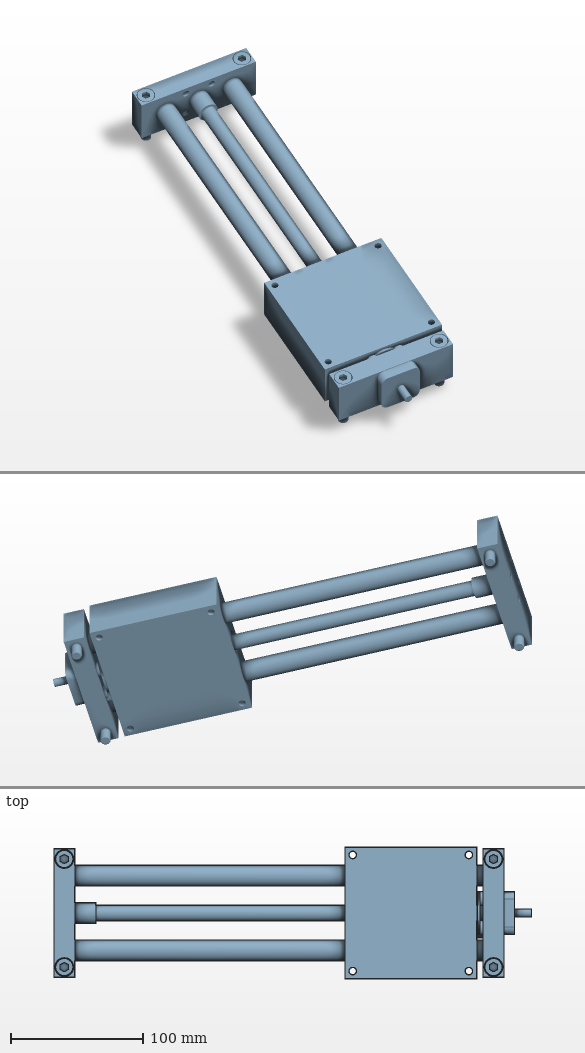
import cadquery as cq


total_length = 362.0
total_height = 49.0

carriage_length = 100.0
carriage_width = 100.0
carriage_height = 36.0
carriage_start = 220.5
carriage_top = carriage_height / 2
mount_hole_diameter = 5.5
mount_hole_spacing = 88.0
screw_bore_diameter = 18.0

plate_thickness = 16.0
plate_width = 97.5
plate_height = 37.0
plate_top = carriage_top - 1.0
plate_bottom = plate_top - plate_height
drive_plate_start = 325.0
drive_plate_end = drive_plate_start + plate_thickness

rod_diameter = 16.0
rod_offset = 28.2
screw_diameter = 12.0
collar_diameter = 16.0
collar_length = 16.0
drive_shaft_diameter = 6.0

flange_size = 32.5
flange_thickness = 8.0
flange_corner_radius = 5.8
bolt_spacing = 22.0
bolt_hole_diameter = 5.5
bolt_head_diameter = 11.0
bolt_head_height = 2.0

disc_diameter = 32.5
disc_thickness = 1.8
pin_diameter = 9.0
pin_y = -14.5
pin_z = -11.5

corner_bolt_offset = 41.0
corner_bolt_diameter = 8.0
corner_head_diameter = 13.0
corner_head_height = 8.0
counterbore_diameter = 14.0
socket_flats = 6.0
socket_depth = 4.0
tip_chamfer = 0.7
corner_bolt_bottom = carriage_top - total_height


def rod_along_x(diameter, x_start, x_end, y=0.0, z=0.0):
    """Round bar parallel to X between two stations."""
    return (
        cq.Workplane("YZ", origin=(x_start, y, z))
        .circle(diameter / 2)
        .extrude(x_end - x_start)
    )


def cylinder_along_z(diameter, z_start, z_end, x, y):
    """Upright round bar between two heights."""
    return (
        cq.Workplane("XY", origin=(x, y, z_start))
        .circle(diameter / 2)
        .extrude(z_end - z_start)
    )


def bolt_pattern():
    """(Y, Z) centres of the four-bolt square around the screw axis."""
    half = bolt_spacing / 2
    return [(y, z) for y in (-half, half) for z in (-half, half)]


def make_corner_bolt(x, y):
    """Socket head bolt, head flush with the plate top, tip below the plate."""
    head_bottom = plate_top - corner_head_height
    shank = cylinder_along_z(corner_bolt_diameter, corner_bolt_bottom, head_bottom, x, y)
    shank = shank.faces("<Z").chamfer(tip_chamfer)
    head = cylinder_along_z(corner_head_diameter, head_bottom, plate_top, x, y)
    socket = (
        cq.Workplane("XY", origin=(x, y, plate_top))
        .polygon(6, socket_flats, circumscribed=True)
        .extrude(-socket_depth)
    )
    return shank.union(head).cut(socket)


def make_end_plate(x_start):
    """End plate with a counterbored socket head bolt near each Y end."""
    plate = cq.Workplane("XY").box(
        plate_thickness, plate_width, plate_height, centered=(False, True, False)
    ).translate((x_start, 0, plate_bottom))
    bolt_x = x_start + plate_thickness / 2
    for bolt_y in (-corner_bolt_offset, corner_bolt_offset):
        counterbore = cylinder_along_z(
            counterbore_diameter, plate_top - corner_head_height, plate_top, bolt_x, bolt_y
        )
        plate = plate.cut(counterbore).union(make_corner_bolt(bolt_x, bolt_y))
    return plate


def make_idle_plate():
    """End plate at X = 0 with the four-bolt pattern drilled through."""
    plate = make_end_plate(0.0)
    for y, z in bolt_pattern():
        plate = plate.cut(rod_along_x(bolt_hole_diameter, 0.0, plate_thickness, y, z))
    return plate


def make_drive_plate():
    """End plate with the bearing flange outside, and bolt heads, disc and pin inside."""
    flange = (
        cq.Workplane("YZ", origin=(drive_plate_end, 0, 0))
        .rect(flange_size, flange_size)
        .extrude(flange_thickness)
        .edges("|X")
        .fillet(flange_corner_radius)
    )
    plate = make_end_plate(drive_plate_start).union(flange)
    head_start = drive_plate_start - bolt_head_height
    disc_start = head_start - disc_thickness
    for y, z in bolt_pattern():
        plate = plate.union(rod_along_x(bolt_head_diameter, head_start, drive_plate_start, y, z))
    plate = plate.union(rod_along_x(disc_diameter, disc_start, head_start))
    return plate.union(rod_along_x(pin_diameter, disc_start, drive_plate_start, pin_y, pin_z))


def make_frame():
    """Both end plates joined by the guide rods and the lead screw."""
    frame = make_idle_plate().union(make_drive_plate())
    for rod_y in (-rod_offset, rod_offset):
        frame = frame.union(rod_along_x(rod_diameter, plate_thickness, drive_plate_start, rod_y))
    frame = frame.union(rod_along_x(screw_diameter, plate_thickness, drive_plate_start))
    frame = frame.union(
        rod_along_x(collar_diameter, plate_thickness, plate_thickness + collar_length)
    )
    flange_end = drive_plate_end + flange_thickness
    return frame.union(rod_along_x(drive_shaft_diameter, flange_end, total_length))


def make_carriage():
    """Block with rod bores, a clearance bore for the screw and corner holes."""
    carriage_end = carriage_start + carriage_length
    carriage_middle = carriage_start + carriage_length / 2
    block = cq.Workplane("XY").box(carriage_length, carriage_width, carriage_height)
    block = block.translate((carriage_middle, 0, 0))
    for rod_y in (-rod_offset, rod_offset):
        block = block.cut(rod_along_x(rod_diameter, carriage_start, carriage_end, rod_y))
    block = block.cut(rod_along_x(screw_bore_diameter, carriage_start, carriage_end))
    half = mount_hole_spacing / 2
    for x in (carriage_middle - half, carriage_middle + half):
        for y in (-half, half):
            block = block.cut(
                cylinder_along_z(mount_hole_diameter, -carriage_top, carriage_top, x, y)
            )
    return block


frame = make_frame()
carriage = make_carriage()

result = cq.Compound.makeCompound([frame.val(), carriage.val()])